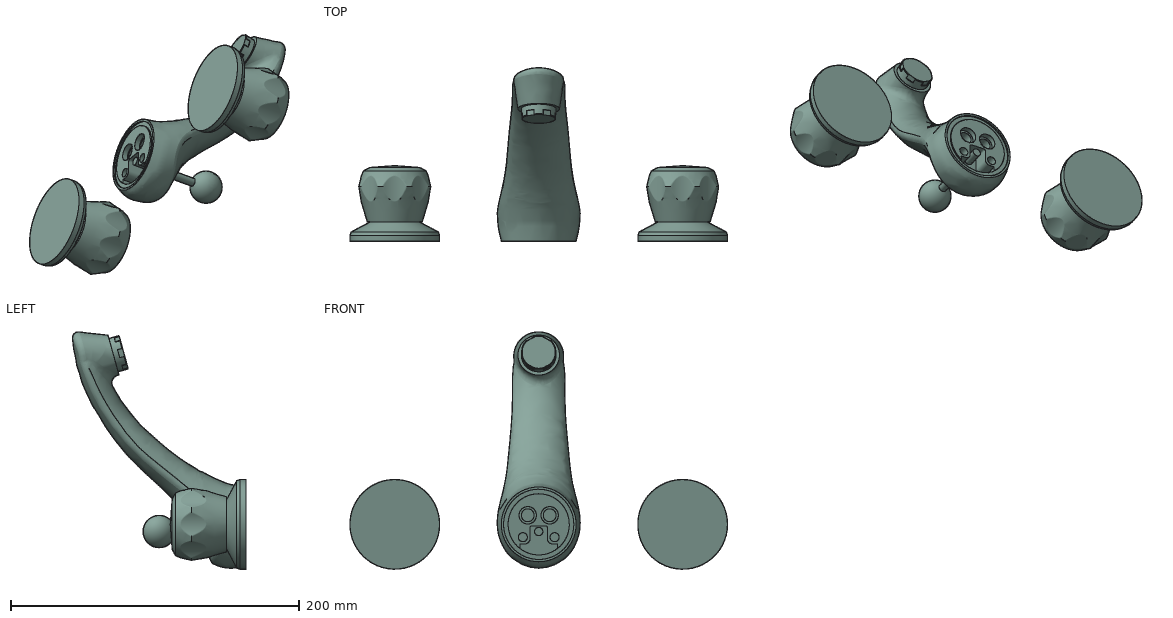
import cadquery as cq
import math


handle_spacing = 199.6
flange_radius = 31.2
flange_straight = 4.2
flange_thickness = 6.5
flange_lip_radius = 30.5
neck_radius = 17.0
knob_start = 13.5
knob_bottom_radius = 19.0
crease_radius = 26.5
crease_height = 38.0
shoulder_radius = 21.7
shoulder_height = 49.0
crown_radius = 17.3
crown_height = 51.4
crown_top = 52.7

scallop_count = 8
scallop_cutter_radius = 21.0
scallop_floor_radius = 23.3
scallop_edge_round = 1.0
knob_box = ((-crease_radius, knob_start, -crease_radius), (crease_radius, crown_top, crease_radius))

base_radius = 26.0

arm_sections = [
    (0, base_radius, 0, base_radius, base_radius),
    (19.6, 31.0, 0, 28.8, 29.9),
    (38.5, 41.0, 31, 24.5, 20.0),
    (56.5, 54.0, 44, 21.7, 15.7),
    (75.0, 71.3, 48, 20.0, 14.5),
    (88.8, 89.0, 60, 18.9, 13.5),
    (98.2, 110.0, 72, 18.0, 12.0),
    (102.2, 121.8, 77, 14.5, 7.9),
]

back_line = [
    (17.0, -38.0),
    (24.0, -26.2),
    (35.6, -1.3),
    (56.5, 23.3),
    (82.0, 47.5),
    (97.7, 67.9),
    (114.0, 98.5),
    (119.7, 121.8),
    (120.8, 141.5),
]
crown_arc_radius = 36.7
back_edge_round = 4.2
trim_half_width = 34.0
trim_depth = 31.5

head_tilt = 15.4
rim_y = 92.0
rim_z = 117.5
rim_radius = 14.5
head_length = 31.5
head_radius = 19.5
head_offset = 7.5
aerator_radius = 12.0
aerator_length = 7.3
aerator_chamfer = 0.5
notch_count = 6
notch_width = 5.8
notch_length = 3.7
notch_floor_radius = 11.3

neck_round = 5.2
neck_box = ((-18.3, 94.3, 101.0), (18.3, 114.0, 113.7))

ring_outer_radius = 24.4
ring_inner_radius = 21.2
ring_depth = 1.0
port_x = 7.5
port_z = 6.3
port_radius = 6.0
port_bore_radius = 4.5
port_depth = 4.0
port_bore_depth = 10.5
screw_x = 11.0
screw_z = -9.0
screw_radius = 3.1
screw_depth = 10.5
slot_top = -1.0
slot_half_width = 6.0
slot_flare_z = -13.5
slot_flare_half_width = 13.0
slot_depth = 13.0
slot_corner_round = 1.3
slot_flare_round = 3.7

rod_z = -5.0
rod_radius = 3.0
rod_start = 1.3
ball_radius = 11.3
ball_y = 60.3


def make_handle():
    profile = (
        cq.Workplane("XY")
        .moveTo(0, 0)
        .lineTo(flange_radius, 0)
        .lineTo(flange_radius, flange_straight)
        .lineTo(flange_lip_radius, flange_thickness)
        .lineTo(neck_radius, knob_start)
        .lineTo(knob_bottom_radius, knob_start)
        .lineTo(crease_radius, crease_height)
        .lineTo(shoulder_radius, shoulder_height)
        .lineTo(crown_radius, crown_height)
        .lineTo(0, crown_top)
        .close()
    )
    handle = profile.revolve(360, (0, 0, 0), (0, 1, 0))
    reach = scallop_floor_radius + scallop_cutter_radius
    for i in range(scallop_count):
        a = 2 * math.pi * i / scallop_count
        cutter = cq.Workplane("XZ", origin=(reach * math.cos(a), crown_top, reach * math.sin(a)))
        handle = handle.cut(cutter.circle(scallop_cutter_radius).extrude(crown_top - knob_start))
    scallops = handle.faces("%CYLINDER").faces(cq.selectors.BoxSelector(*knob_box))
    return scallops.edges().fillet(scallop_edge_round)


def ellipse_wire(plane, half_width, half_depth):
    """Ellipse whose seam lies on the underside of the arm, at X = 0."""
    if half_depth >= half_width:
        return cq.Wire.makeEllipse(half_depth, half_width, plane.origin, plane.zDir, plane.yDir)
    return cq.Wire.makeEllipse(half_width, half_depth, plane.origin, plane.zDir, plane.xDir, 90, 450)


def make_arm():
    sections = []
    for y, z, lean, half_width, half_depth in arm_sections:
        a = math.radians(lean)
        centre = (0, y + half_depth * math.sin(a), z - half_depth * math.cos(a))
        plane = cq.Plane(origin=centre, xDir=(1, 0, 0), normal=(0, math.cos(a), math.sin(a)))
        sections.append(ellipse_wire(plane, half_width, half_depth))
    return cq.Workplane(obj=cq.Solid.makeLoft(sections))


def head_plane(inset, offset):
    """Plane of the outlet, set back into the head by inset and raised by offset."""
    a = math.radians(head_tilt)
    y = rim_y + inset * math.cos(a) + offset * math.sin(a)
    z = rim_z - inset * math.sin(a) + offset * math.cos(a)
    return cq.Plane(origin=(0, y, z), xDir=(1, 0, 0), normal=(0, -math.cos(a), math.sin(a)))


def circle_wire(plane, radius):
    return cq.Wire.makeCircle(radius, plane.origin, plane.zDir)


def make_head():
    rim = circle_wire(head_plane(0, 0), rim_radius)
    root = circle_wire(head_plane(head_length, head_offset), head_radius)
    return cq.Workplane(obj=cq.Solid.makeLoft([rim, root], True))


def make_back_trim():
    """Block behind the arm whose inner face is the crowned back surface."""
    start_y, start_z = back_line[0]
    path = cq.Workplane("YZ").spline(back_line)
    tangent = path.val().tangentAt(0)
    plane = cq.Plane(origin=(0, start_y, start_z), xDir=(1, 0, 0), normal=tangent.toTuple())
    sag = crown_arc_radius - math.sqrt(crown_arc_radius**2 - trim_half_width**2)
    section = (
        cq.Workplane(plane)
        .moveTo(-trim_half_width, -sag)
        .threePointArc((0, 0), (trim_half_width, -sag))
        .lineTo(trim_half_width, trim_depth)
        .lineTo(-trim_half_width, trim_depth)
        .close()
    )
    return section.sweep(path)


def make_aerator():
    face = head_plane(-aerator_length, 0)
    aerator = (
        cq.Workplane(face)
        .circle(aerator_radius)
        .extrude(-2 * aerator_length)
        .faces(cq.selectors.NearestToPointSelector(face.origin.toTuple()))
        .chamfer(aerator_chamfer)
    )
    for i in range(notch_count):
        notch = (
            cq.Workplane(face)
            .transformed(rotate=(0, 0, 360 * i / notch_count))
            .center(notch_floor_radius + aerator_radius / 2, 0)
            .rect(aerator_radius, notch_width)
            .extrude(-notch_length)
        )
        aerator = aerator.cut(notch)
    return aerator


def base_tool(radius, depth, places):
    """Round cutters sunk into the base from the mounting plane."""
    return cq.Workplane("XZ").pushPoints(places).circle(radius).extrude(-depth)


def make_slot():
    outline = (
        cq.Workplane("XZ")
        .moveTo(-slot_half_width, slot_top)
        .lineTo(slot_half_width, slot_top)
        .lineTo(slot_half_width, slot_flare_z)
        .lineTo(slot_flare_half_width, slot_flare_z)
        .lineTo(slot_flare_half_width, -ring_inner_radius)
        .lineTo(-slot_flare_half_width, -ring_inner_radius)
        .lineTo(-slot_flare_half_width, slot_flare_z)
        .lineTo(-slot_half_width, slot_flare_z)
        .close()
        .extrude(-slot_depth)
        .edges("|Y and >Z").fillet(slot_corner_round)
    )
    for side in (-1, 1):
        corner = (side * slot_half_width, slot_depth / 2, slot_flare_z)
        outline = outline.edges(cq.selectors.NearestToPointSelector(corner)).fillet(slot_flare_round)
    return outline.intersect(base_tool(ring_inner_radius, slot_depth, [(0, 0)]))


def make_spout():
    spout = make_arm().union(make_head())
    spout = spout.cut(make_back_trim())
    spout = spout.edges(cq.selectors.BoxSelector(*neck_box, boundingbox=True)).fillet(neck_round)
    spout = spout.faces(">(0, 1, -1)").edges().fillet(back_edge_round)
    spout = spout.union(make_aerator())
    ring = base_tool(ring_outer_radius, ring_depth, [(0, 0)])
    ring = ring.cut(base_tool(ring_inner_radius, ring_depth, [(0, 0)]))
    ports = [(-port_x, port_z), (port_x, port_z)]
    screws = [(-screw_x, screw_z), (screw_x, screw_z)]
    spout = spout.cut(ring).cut(make_slot())
    spout = spout.cut(base_tool(port_radius, port_depth, ports))
    spout = spout.cut(base_tool(port_bore_radius, port_bore_depth, ports))
    spout = spout.cut(base_tool(screw_radius, screw_depth, screws))
    return spout.cut(base_tool(rod_radius, ball_y, [(0, rod_z)]))


def make_lift_rod():
    rod = cq.Workplane("XZ", origin=(0, rod_start, rod_z)).circle(rod_radius).extrude(rod_start - ball_y)
    ball = cq.Workplane("XY", origin=(0, ball_y, rod_z)).sphere(ball_radius)
    return rod.union(ball)


spout = make_spout()
lift_rod = make_lift_rod()
handle = make_handle()
handles = []
for side in (-1, 1):
    handles.append(handle.translate((side * handle_spacing / 2, 0, 0)).val())

result = cq.Compound.makeCompound([spout.val(), lift_rod.val(), *handles])